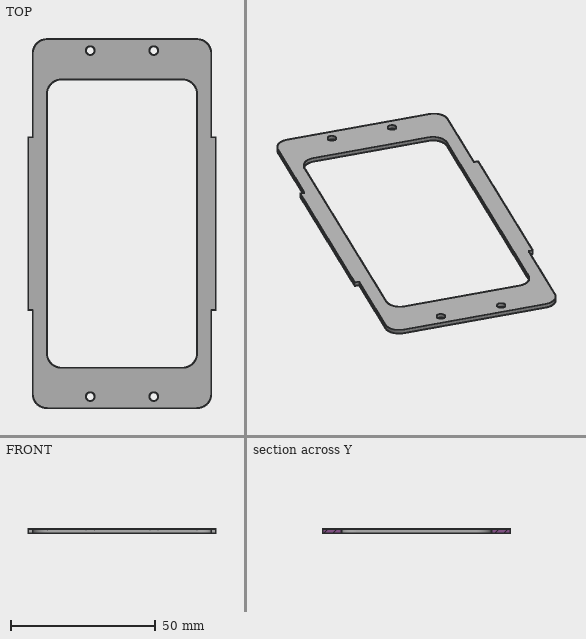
import cadquery as cq

length = 128.0
thickness = 1.5
body_width = 62.0
corner_radius = 5.0

width_over_tabs = 65.0
tab_length = 60.0

window_width = 52.0
window_length = 99.8
window_radius = 5.0

hole_diameter = 3.0
hole_spacing_x = 22.0
hole_spacing_y = 120.0


def rounded_plate(width, height, radius):
    """Flat plate centred on the origin with rounded vertical corners."""
    return cq.Workplane("XY").box(width, height, thickness).edges("|Z").fillet(radius)


body = rounded_plate(body_width, length, corner_radius)
side_tabs = cq.Workplane("XY").box(width_over_tabs, tab_length, thickness)
window = rounded_plate(window_width, window_length, window_radius)

result = (
    body.union(side_tabs)
    .cut(window)
    .faces(">Z")
    .workplane(origin=(0, 0, 0))
    .rarray(hole_spacing_x, hole_spacing_y, 2, 2)
    .hole(hole_diameter)
)